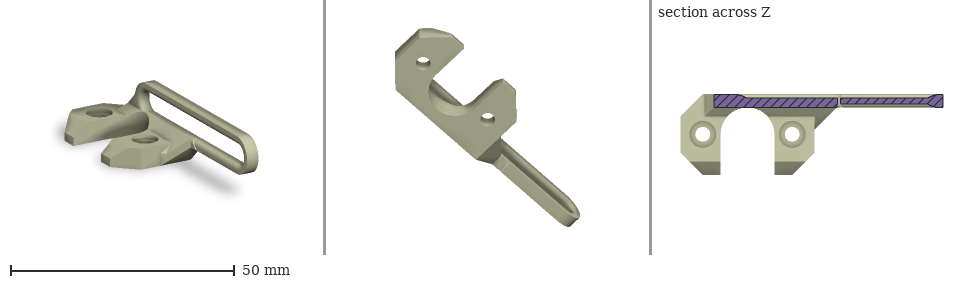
import cadquery as cq

TOTAL_LENGTH = 59.5
TOTAL_HEIGHT = 14.0

BASE_LENGTH = 30.0
BASE_DEPTH = 18.0
BASE_HEIGHT = 5.0
CORNER = 5.0
NOSE_BEVEL = 3.0
FORK_RADIUS = 6.0
FORK_X = BASE_LENGTH / 2
BORE_DIAMETER = 3.3
COUNTERBORE_DIAMETER = 6.0
COUNTERBORE_DEPTH = 1.0
HOLE_INSET = 5.0

LOOP_THICKNESS = 3.0
LOOP_BAND = 2.0
LOOP_EDGE_RADIUS = 1.0
LOOP_RADIUS = (TOTAL_HEIGHT - BASE_HEIGHT) / 2
LOOP_Z = BASE_HEIGHT + LOOP_RADIUS
LOOP_RIGHT_X = TOTAL_LENGTH - LOOP_RADIUS
WINDOW_RADIUS = LOOP_RADIUS - LOOP_BAND
WINDOW_FLOOR_Z = BASE_HEIGHT + LOOP_BAND
AXIS_Y = -(LOOP_THICKNESS + FORK_RADIUS)

STRUT_X = 5.4
STRUT_RISE = 5.0
GUSSET_REACH_X = BASE_LENGTH + BASE_HEIGHT
GUSSET_FOOT_Y = -(LOOP_THICKNESS + BASE_HEIGHT)
WEB_TOE_Y = -(LOOP_THICKNESS + LOOP_BAND)
CORNER_FILL_Z = 3.0

GAP_TOP_X = 35.1
GAP_WIDTH = 0.6


def stadium(radius, depth):
    """Rounded bar shared by the outside and the window of the loop."""
    straight = LOOP_RIGHT_X - FORK_X
    return (
        cq.Workplane("XZ")
        .center(FORK_X + straight / 2, LOOP_Z)
        .slot2D(straight + 2 * radius, 2 * radius)
        .extrude(depth)
    )


def forked_base():
    front_y = -BASE_DEPTH
    outline = [
        (CORNER, 0),
        (BASE_LENGTH, 0),
        (BASE_LENGTH, front_y + CORNER),
        (BASE_LENGTH - CORNER, front_y),
        (CORNER, front_y),
        (0, front_y + CORNER),
        (0, -CORNER),
    ]
    base = cq.Workplane("XY").polyline(outline).close().extrude(BASE_HEIGHT)
    bevel = (
        cq.Workplane("YZ")
        .moveTo(front_y, BASE_HEIGHT)
        .lineTo(front_y + NOSE_BEVEL, BASE_HEIGHT)
        .lineTo(front_y, BASE_HEIGHT - NOSE_BEVEL)
        .close()
        .extrude(BASE_LENGTH)
    )
    return base.cut(bevel)


def loop_and_strut():
    """Loop joined to the base by a 45 degree strut, with a rounded window edge."""
    strut = (
        cq.Workplane("XZ")
        .moveTo(STRUT_X, BASE_HEIGHT)
        .lineTo(STRUT_X + STRUT_RISE, BASE_HEIGHT + STRUT_RISE)
        .lineTo(FORK_X, LOOP_Z)
        .lineTo(FORK_X, BASE_HEIGHT)
        .close()
        .extrude(LOOP_THICKNESS)
    )
    body = stadium(LOOP_RADIUS, LOOP_THICKNESS).union(strut)
    body = body.cut(stadium(WINDOW_RADIUS, LOOP_THICKNESS))
    window_rims = body.faces("<Y or >Y").edges(
        cq.selectors.BoxSelector(
            (FORK_X - LOOP_RADIUS + LOOP_BAND / 2, -TOTAL_LENGTH, BASE_HEIGHT + LOOP_BAND / 2),
            (TOTAL_LENGTH - LOOP_BAND / 2, TOTAL_LENGTH, TOTAL_HEIGHT - LOOP_BAND / 2),
            boundingbox=True,
        )
    )
    return window_rims.fillet(LOOP_EDGE_RADIUS)


def sloping_web():
    """45 degree web in front of the loop, carried down past the right end of the base."""
    toe_z = WINDOW_FLOOR_Z + GUSSET_FOOT_Y + LOOP_THICKNESS
    web = (
        cq.Workplane("YZ")
        .moveTo(0, 0)
        .lineTo(0, BASE_HEIGHT)
        .lineTo(-LOOP_THICKNESS / 2, BASE_HEIGHT)
        .lineTo(-LOOP_THICKNESS / 2, WINDOW_FLOOR_Z)
        .lineTo(-LOOP_THICKNESS, WINDOW_FLOOR_Z)
        .lineTo(GUSSET_FOOT_Y, toe_z)
        .lineTo(GUSSET_FOOT_Y, 0)
        .close()
        .extrude(GUSSET_REACH_X)
    )
    side_limits = (
        cq.Workplane("XZ")
        .moveTo(STRUT_X, 0)
        .lineTo(STRUT_X, BASE_HEIGHT)
        .lineTo(STRUT_X + LOOP_BAND, WINDOW_FLOOR_Z)
        .lineTo(GUSSET_REACH_X, WINDOW_FLOOR_Z)
        .lineTo(GUSSET_REACH_X, BASE_HEIGHT)
        .lineTo(BASE_LENGTH, 0)
        .close()
        .extrude(-GUSSET_FOOT_Y)
    )
    plan_limits = (
        cq.Workplane("XY")
        .moveTo(STRUT_X, 0)
        .lineTo(GUSSET_REACH_X, 0)
        .lineTo(GUSSET_REACH_X, -LOOP_THICKNESS)
        .lineTo(BASE_LENGTH, GUSSET_FOOT_Y)
        .lineTo(STRUT_X, GUSSET_FOOT_Y)
        .close()
        .extrude(WINDOW_FLOOR_Z)
    )
    return web.intersect(side_limits).intersect(plan_limits)


def corner_fill():
    """Small tetrahedron filling the corner between the web and the base side."""
    drop = WINDOW_FLOOR_Z - CORNER_FILL_Z
    top = cq.Vector(BASE_LENGTH, WEB_TOE_Y, BASE_HEIGHT)
    outer = cq.Vector(GUSSET_REACH_X - drop, -LOOP_THICKNESS - drop, CORNER_FILL_Z)
    front = cq.Vector(BASE_LENGTH, GUSSET_FOOT_Y, CORNER_FILL_Z)
    low = cq.Vector(BASE_LENGTH, GUSSET_FOOT_Y, WINDOW_FLOOR_Z + GUSSET_FOOT_Y + LOOP_THICKNESS)
    triangles = [(top, outer, front), (top, outer, low), (top, front, low), (outer, front, low)]
    faces = [cq.Face.makeFromWires(cq.Wire.makePolygon(corners, close=True)) for corners in triangles]
    return cq.Workplane(cq.Solid.makeSolid(cq.Shell.makeShell(faces)))


def fork_opening():
    """Round-ended throat, open to the front and cutting into the web."""
    throat = cq.Workplane("XY").center(FORK_X, AXIS_Y).circle(FORK_RADIUS).extrude(TOTAL_HEIGHT)
    mouth_depth = BASE_DEPTH + AXIS_Y
    mouth = (
        cq.Workplane("XY")
        .center(FORK_X, AXIS_Y - mouth_depth / 2)
        .rect(2 * FORK_RADIUS, mouth_depth)
        .extrude(TOTAL_HEIGHT)
    )
    return throat.union(mouth)


def slanted_gap():
    return (
        cq.Workplane("XZ")
        .moveTo(GAP_TOP_X, WINDOW_FLOOR_Z)
        .lineTo(GAP_TOP_X + GAP_WIDTH, WINDOW_FLOOR_Z)
        .lineTo(GAP_TOP_X + GAP_WIDTH + LOOP_BAND, BASE_HEIGHT)
        .lineTo(GAP_TOP_X + LOOP_BAND, BASE_HEIGHT)
        .close()
        .extrude(LOOP_THICKNESS)
    )


body = forked_base().union(loop_and_strut()).union(sloping_web()).union(corner_fill())
body = body.cut(fork_opening()).cut(slanted_gap())
result = (
    body.copyWorkplane(cq.Workplane("XY", origin=(0, 0, BASE_HEIGHT)))
    .pushPoints([(HOLE_INSET, AXIS_Y), (BASE_LENGTH - HOLE_INSET, AXIS_Y)])
    .cboreHole(BORE_DIAMETER, COUNTERBORE_DIAMETER, COUNTERBORE_DEPTH)
)